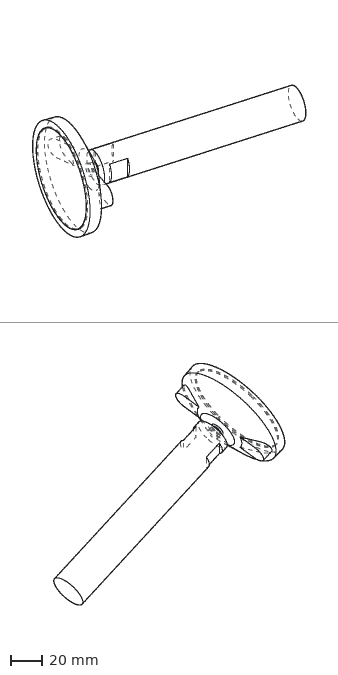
import cadquery as cq

TOTAL_LENGTH = 170.0

FOOT_DIAMETER = 78.0
RIM_TOP_DIAMETER = 77.4
RIM_HEIGHT = 8.5
CONE_TOP_DIAMETER = 28.0
FOOT_HEIGHT = 20.0

PAD_DIAMETER = 67.5
PAD_RECESS_DIAMETER = 68.0
GROOVE_DEPTH = 1.0

LUG_BAR_LENGTH = 72.5
LUG_WIDTH = 14.5
LUG_TOP = 18.0

NECK_DIAMETER = 7.8
BALL_DIAMETER = 10.5
BALL_CENTER = 17.5

STEM_DIAMETER = 24.0
STEM_START = 24.8
COLLAR_LENGTH = 5.0
FLATS_START = STEM_START + COLLAR_LENGTH
FLATS_LENGTH = 13.0
ACROSS_FLATS = 19.0



def cylinder(diameter, start, end):
    """Cylinder on the Y axis between two heights above the foot's underside."""
    return cq.Workplane("XZ", origin=(0, start, 0)).circle(diameter / 2).extrude(start - end)


def make_foot():
    """Tapered rim and cone, turned from a half section."""
    section = [
        (0, 0),
        (FOOT_DIAMETER / 2, 0),
        (RIM_TOP_DIAMETER / 2, RIM_HEIGHT),
        (CONE_TOP_DIAMETER / 2, FOOT_HEIGHT),
        (0, FOOT_HEIGHT),
    ]
    return cq.Workplane("XY").polyline(section).close().revolve(360, (0, 0), (0, 1))


def make_lugs():
    """Round-ended bar rising from inside the rim to the top of the lugs."""
    base = RIM_HEIGHT / 2
    return (
        cq.Workplane("XZ", origin=(0, base, 0))
        .slot2D(LUG_BAR_LENGTH, LUG_WIDTH)
        .extrude(base - LUG_TOP)
    )


def make_pad_groove():
    """Ring-shaped cutter around the pad."""
    recess = cylinder(PAD_RECESS_DIAMETER, 0, GROOVE_DEPTH)
    pad = cylinder(PAD_DIAMETER, 0, GROOVE_DEPTH)
    return recess.cut(pad)


def make_neck():
    """Ball seated in the foot, with a thin neck reaching up to the stem."""
    ball = cq.Workplane("XY", origin=(0, BALL_CENTER, 0)).sphere(BALL_DIAMETER / 2)
    return ball.union(cylinder(NECK_DIAMETER, BALL_CENTER, STEM_START))


def make_stem():
    """Round stem with a wrench flat on its -X and +X sides."""
    stem = cylinder(STEM_DIAMETER, STEM_START, TOTAL_LENGTH)
    flats_middle = FLATS_START + FLATS_LENGTH / 2
    for side in (-1, 1):
        cutter = cq.Workplane("XY").box(STEM_DIAMETER, FLATS_LENGTH, STEM_DIAMETER)
        offset = side * (ACROSS_FLATS + STEM_DIAMETER) / 2
        stem = stem.cut(cutter.translate((offset, flats_middle, 0)))
    return stem


foot = make_foot().union(make_lugs()).cut(make_pad_groove())
result = foot.union(make_neck()).union(make_stem())